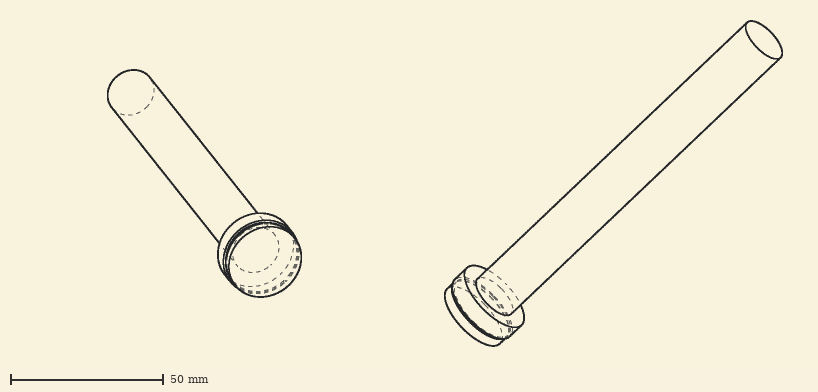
import cadquery as cq

total_length = 145.5
shank_diameter = 16.0
collar_diameter = 26.0
collar_length = 6.1
groove_width = 0.9
groove_depth = 0.3
cap_diameter = 25.0
cap_length = 3.5

groove_diameter = cap_diameter - 2 * groove_depth
shank_length = total_length - collar_length - groove_width - cap_length

sections = [
    (shank_diameter, shank_length),
    (collar_diameter, collar_length),
    (groove_diameter, groove_width),
    (cap_diameter, cap_length),
]


def stack_cylinders(start_x, sections):
    """Join coaxial cylinders end to end along +X."""
    body = cq.Workplane("YZ", origin=(start_x, 0, 0))
    for diameter, length in sections:
        body = body.circle(diameter / 2).extrude(length).faces(">X").workplane()
    return body.findSolid()


result = cq.Workplane(stack_cylinders(-total_length / 2, sections))